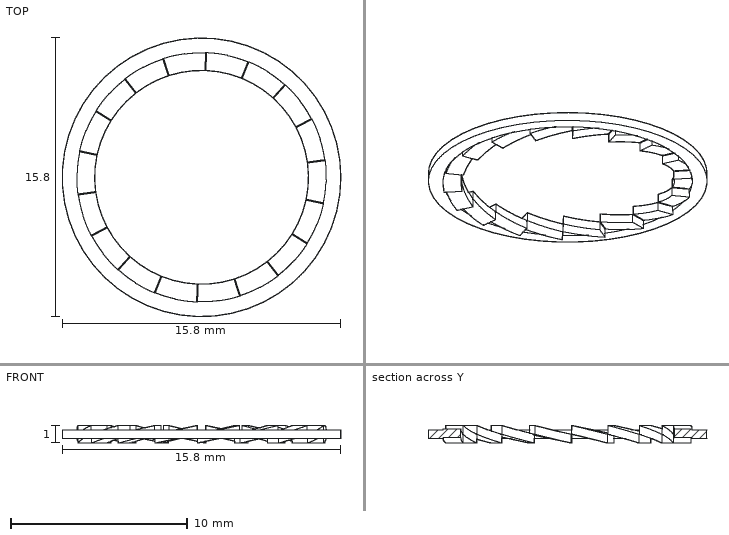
import cadquery as cq

full_turn = 360

ring_outer_radius = 7.9
ring_inner_radius = 7.05
ring_height = 0.5

blade_count = 18
blade_length = 1.0
blade_root_overlap = 0.02
blade_thickness = 0.5
total_height = 1.0
blade_gap_angle = 0.25
first_blade_angle = 8.05

blade_pitch_angle = full_turn / blade_count
blade_span_angle = blade_pitch_angle - blade_gap_angle
blade_rise = total_height - blade_thickness
blade_inner_radius = ring_inner_radius - blade_length
blade_outer_radius = ring_inner_radius + blade_root_overlap


def make_ring():
    """Flat ring that carries the blades, centred on Z = 0."""
    return (
        cq.Workplane("XY")
        .workplane(offset=-ring_height / 2)
        .circle(ring_outer_radius)
        .circle(ring_inner_radius)
        .extrude(ring_height)
    )


def make_blade():
    """One blade: an upright rectangle swept up a helix, its low end on the +X axis."""
    blade_mid_radius = (blade_inner_radius + blade_outer_radius) / 2
    rise_per_turn = blade_rise * full_turn / blade_span_angle
    helix = cq.Wire.makeHelix(rise_per_turn, blade_rise, blade_mid_radius)
    return (
        cq.Workplane("XZ")
        .center(blade_mid_radius, 0)
        .rect(blade_outer_radius - blade_inner_radius, blade_thickness)
        .sweep(cq.Workplane(obj=helix), isFrenet=True)
        .translate((0, 0, -blade_rise / 2))
    )


result = make_ring()
blade = make_blade()
for index in range(blade_count):
    angle = first_blade_angle + index * blade_pitch_angle
    result = result.union(blade.rotate((0, 0, 0), (0, 0, 1), angle))